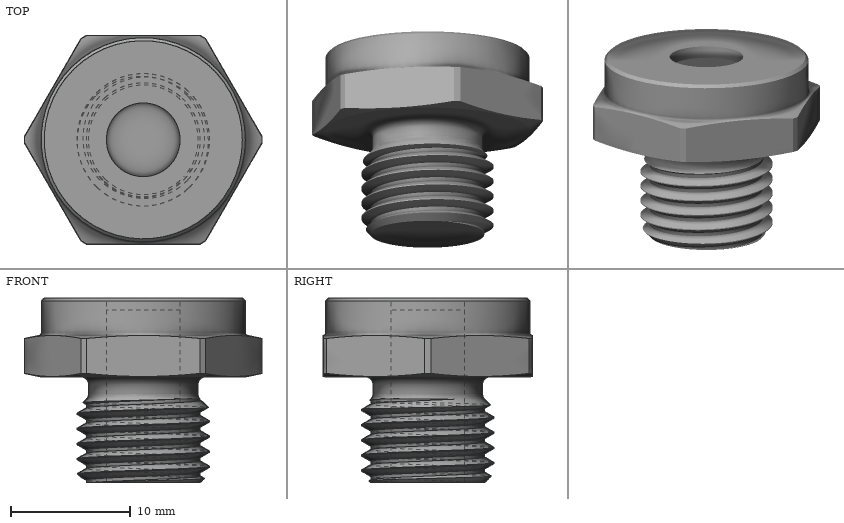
import cadquery as cq
import math

INCH = 25.4

PITCH = INCH / 20
MAJOR_R = INCH * 7 / 16 / 2
THREAD_DEPTH = 0.6134 * PITCH
ROOT_R = MAJOR_R - THREAD_DEPTH
CREST_WIDTH = PITCH / 16
FLANK_SLOPE = math.tan(math.radians(30))
RIDGE_SINK = 0.05
TRIM_CLEARANCE = 0.1
CREST_Z_AT_X_AXIS = 0.06

TOTAL_HEIGHT = 15.49
HEX_BOTTOM_Z = 8.86
CAP_SIDE_BOTTOM_Z = 12.58
NECK_BOTTOM_Z = 7.42

RELIEF_ANGLE = math.radians(45)
NECK_FILLET = 0.6
NECK_R = ROOT_R - NECK_FILLET * (1 - math.cos(RELIEF_ANGLE))

HEX_ACROSS_FLATS = 17.53
HEX_CORNER_R = 19.93 / 2
HEX_BEVEL_ANGLE = math.radians(12)

CAP_R = 8.56
CAP_CHAMFER = 0.25
CAP_FILLET = 0.24

BORE_R = 3.09
RECESS_DEPTH = 1.0


def arc_point(center_r, center_z, radius, angle):
    """Point of the half-section on a circle, at an angle measured from +R."""
    return (center_r + radius * math.cos(angle), center_z + radius * math.sin(angle))


def revolve_about_z(half_section):
    """Close a half-section drawn in the XZ plane and turn it about the part's axis."""
    return half_section.close().revolve(360, (0, 0, 0), (0, 1, 0))


RELIEF_CENTER_R = NECK_R + NECK_FILLET
RELIEF_MID = arc_point(RELIEF_CENTER_R, NECK_BOTTOM_Z, NECK_FILLET, math.pi + RELIEF_ANGLE / 2)
RELIEF_END = arc_point(RELIEF_CENTER_R, NECK_BOTTOM_Z, NECK_FILLET, math.pi + RELIEF_ANGLE)


def shank_blank(outer_r):
    """Turned shank with a given radius along its thread, chamfered at its lower end."""
    chamfer = outer_r - ROOT_R
    section = cq.Workplane("XZ").lineTo(ROOT_R, 0)
    if chamfer > 0:
        section = section.lineTo(outer_r, chamfer).lineTo(outer_r, RELIEF_END[1] - chamfer)
    return revolve_about_z(
        section
        .lineTo(*RELIEF_END)
        .threePointArc(RELIEF_MID, (NECK_R, NECK_BOTTOM_Z))
        .lineTo(NECK_R, HEX_BOTTOM_Z)
        .lineTo(0, HEX_BOTTOM_Z)
    )


def make_thread_ridge():
    """Right-handed helical ridge, trimmed by the end chamfer and the relief cone."""
    start_z = CREST_Z_AT_X_AXIS - PITCH
    turns = math.ceil(RELIEF_END[1] / PITCH) + 1
    helix = cq.Wire.makeHelix(PITCH, turns * PITCH, ROOT_R).moved(cq.Location(cq.Vector(0, 0, start_z)))
    base_r = ROOT_R - RIDGE_SINK
    half_crest = CREST_WIDTH / 2
    half_base = half_crest + (MAJOR_R - base_r) * FLANK_SLOPE
    ridge = (
        cq.Workplane("XZ")
        .moveTo(base_r, start_z - half_base)
        .lineTo(MAJOR_R, start_z - half_crest)
        .lineTo(MAJOR_R, start_z + half_crest)
        .lineTo(base_r, start_z + half_base)
        .close()
        .sweep(cq.Workplane(obj=helix), isFrenet=True)
    )
    return ridge.intersect(shank_blank(MAJOR_R + TRIM_CLEARANCE))


def make_head():
    """Hexagon and round cap: a turned blank with six flats cut on the hexagon."""
    fillet_center_r = CAP_R + CAP_FILLET
    fillet_end_angle = math.radians(270) - HEX_BEVEL_ANGLE
    fillet_mid_angle = (math.pi + fillet_end_angle) / 2
    fillet_mid = arc_point(fillet_center_r, CAP_SIDE_BOTTOM_Z, CAP_FILLET, fillet_mid_angle)
    fillet_end = arc_point(fillet_center_r, CAP_SIDE_BOTTOM_Z, CAP_FILLET, fillet_end_angle)

    bevel_slope = math.tan(HEX_BEVEL_ANGLE)
    lower_corner_z = HEX_BOTTOM_Z + (HEX_CORNER_R - CAP_R) * bevel_slope
    upper_corner_z = fillet_end[1] - (HEX_CORNER_R - fillet_end[0]) * bevel_slope

    neck_fillet_center = (NECK_R + NECK_FILLET, HEX_BOTTOM_Z - NECK_FILLET)
    neck_fillet_mid = arc_point(*neck_fillet_center, NECK_FILLET, math.radians(135))

    blank = revolve_about_z(
        cq.Workplane("XZ")
        .moveTo(0, neck_fillet_center[1])
        .lineTo(NECK_R, neck_fillet_center[1])
        .threePointArc(neck_fillet_mid, (neck_fillet_center[0], HEX_BOTTOM_Z))
        .lineTo(CAP_R, HEX_BOTTOM_Z)
        .lineTo(HEX_CORNER_R, lower_corner_z)
        .lineTo(HEX_CORNER_R, upper_corner_z)
        .lineTo(*fillet_end)
        .threePointArc(fillet_mid, (CAP_R, CAP_SIDE_BOTTOM_Z))
        .lineTo(CAP_R, TOTAL_HEIGHT - CAP_CHAMFER)
        .lineTo(CAP_R - CAP_CHAMFER, TOTAL_HEIGHT)
        .lineTo(0, TOTAL_HEIGHT)
    )
    hex_prism = (
        cq.Workplane("XY")
        .polygon(6, HEX_ACROSS_FLATS / math.cos(math.radians(30)))
        .extrude(TOTAL_HEIGHT)
    )
    return blank.intersect(hex_prism)


def make_housing():
    """Threaded hexagon fitting with a bore along its axis."""
    core = shank_blank(ROOT_R)
    bore = cq.Workplane("XY").circle(BORE_R).extrude(TOTAL_HEIGHT)
    return core.union(make_head()).union(make_thread_ridge()).cut(bore)


def make_plug():
    """Round plug that fills the bore up to the floor of the recess."""
    return cq.Workplane("XY").circle(BORE_R).extrude(TOTAL_HEIGHT - RECESS_DEPTH)


housing = make_housing()
plug = make_plug()
result = cq.Compound.makeCompound([housing.solids().val(), plug.val()])